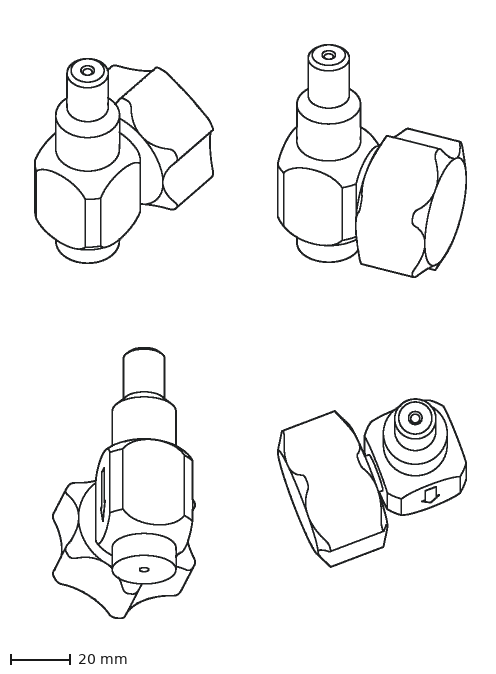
import cadquery as cq
import math

total_height = 80.2
collar_radius = 10.7
collar_top = 59.2
neck_radius = 6.9
neck_bottom = 63.0
tip_radius = 5.5
tip_bevel_height = 1.3
bore_radius = 1.5
bore_mouth_radius = 2.25

body_width = 28.3
body_corner_radius = 17.65
body_bottom = 8.2
body_top = 43.4
body_center_z = (body_bottom + body_top) / 2
flat_drop = 1.8
corner_drop = 6.3

stem_radius = 6.4
knob_front = 17.2
knob_length = 24.95
knob_back = knob_front + knob_length
knob_radius = 24.95
lobe_count = 6
scallop_floor = 18.45
scallop_radius = 15.1
lobe_fillet = 2.3
knob_face_radius = 18.5
knob_bevel_length = 3.1

arrow_depth = 0.1
arrow_top = 35.55
arrow_head_base = 22.7
arrow_tip = 16.45
arrow_shaft_width = 3.85
arrow_head_width = 6.25


def make_body():
    half_width = body_width / 2
    half_height = (body_top - body_bottom) / 2
    corner_height = half_height - corner_drop
    flat_height = half_height - flat_drop
    dome = (
        cq.Workplane("XZ")
        .moveTo(0, -half_height)
        .lineTo(collar_radius, -half_height)
        .threePointArc((half_width, -flat_height), (body_corner_radius, -corner_height))
        .lineTo(body_corner_radius, corner_height)
        .threePointArc((half_width, flat_height), (collar_radius, half_height))
        .lineTo(0, half_height)
        .close()
        .revolve(360, (0, 0), (0, 1))
    )
    block = cq.Workplane("XY").box(body_width, body_width, 2 * half_height)
    return dome.intersect(block).translate((0, 0, body_center_z))


def make_spindle():
    return (
        cq.Workplane("XZ")
        .polyline([
            (0, 0),
            (collar_radius, 0),
            (collar_radius, collar_top),
            (neck_radius, neck_bottom),
            (neck_radius, total_height - tip_bevel_height),
            (tip_radius, total_height),
            (0, total_height),
        ])
        .close()
        .revolve(360, (0, 0), (0, 1))
    )


def make_bore():
    mouth_depth = bore_mouth_radius - bore_radius
    return (
        cq.Workplane("XZ")
        .polyline([
            (0, 0),
            (bore_radius, 0),
            (bore_radius, total_height - mouth_depth),
            (bore_mouth_radius, total_height),
            (0, total_height),
        ])
        .close()
        .revolve(360, (0, 0), (0, 1))
    )


def along_y(radius, start, end, x=0, z=body_center_z):
    """Cylinder parallel to Y."""
    return cq.Workplane("XZ", origin=(x, start, z)).circle(radius).extrude(start - end)


def make_knob():
    knob = along_y(knob_radius, knob_front, knob_back)
    scallop_distance = scallop_floor + scallop_radius
    for index in range(lobe_count):
        angle = 2 * math.pi * index / lobe_count
        x = scallop_distance * math.cos(angle)
        z = body_center_z + scallop_distance * math.sin(angle)
        knob = knob.cut(along_y(scallop_radius, knob_front, knob_back, x, z))
    knob = knob.edges("|Y").fillet(lobe_fillet)

    bevel_envelope = (
        cq.Workplane("XY")
        .polyline([
            (0, knob_front),
            (knob_face_radius, knob_front),
            (knob_radius, knob_front + knob_bevel_length),
            (knob_radius, knob_back - knob_bevel_length),
            (knob_face_radius, knob_back),
            (0, knob_back),
        ])
        .close()
        .revolve(360, (0, 0), (0, 1))
        .translate((0, 0, body_center_z))
    )
    return knob.intersect(bevel_envelope)


def make_arrow():
    half_shaft = arrow_shaft_width / 2
    half_head = arrow_head_width / 2
    return (
        cq.Workplane("YZ", origin=(-body_width / 2, 0, 0))
        .polyline([
            (-half_shaft, arrow_top),
            (half_shaft, arrow_top),
            (half_shaft, arrow_head_base),
            (half_head, arrow_head_base),
            (0, arrow_tip),
            (-half_head, arrow_head_base),
            (-half_shaft, arrow_head_base),
        ])
        .close()
        .extrude(arrow_depth)
    )


stem = along_y(stem_radius, collar_radius, knob_front)
valve = make_body().union(make_spindle()).union(stem).union(make_knob())
result = valve.cut(make_bore()).cut(make_arrow())